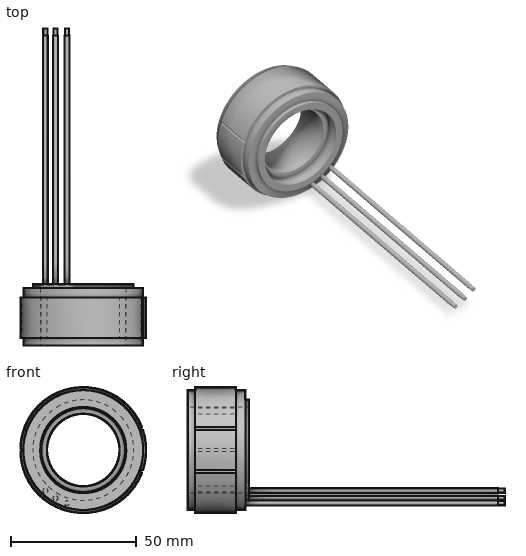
import cadquery as cq
import math

overall_length = 126.0

core_diameter = 50.0
core_radius = core_diameter / 2
core_front = 3.0
core_back = 19.2
winding_radius = 23.8
winding_back = 22.9
collar_radius = 20.0
collar_back = 24.5
stator_bore_radius = 17.0

groove_radius = 0.6
groove_angles = (180, 20, -20)

wire_radius = 1.0
tip_radius = 0.9
tip_length = 2.8
wire_circle_radius = 22.0
wire_angles = (227, 240, 253)

air_gap = 0.3
rotor_radius = stator_bore_radius - air_gap
rotor_bore_radius = 14.4
rotor_front = core_front
rotor_back = core_back


def cylinder(radius, start, end, center=(0, 0)):
    """Cylinder along +Y from start to end, centred at (x, z)."""
    x, z = center
    return cq.Workplane(cq.Solid.makeCylinder(radius, end - start, cq.Vector(x, start, z), cq.Vector(0, 1, 0)))


def polar_point(radius, angle):
    """The (x, z) point at an angle in degrees, measured from +X toward +Z."""
    turn = math.radians(angle)
    return radius * math.cos(turn), radius * math.sin(turn)


def make_wire(angle):
    """Insulated lead with its stripped end, starting on the back of the winding."""
    center = polar_point(wire_circle_radius, angle)
    insulation_end = overall_length - tip_length
    insulation = cylinder(wire_radius, winding_back, insulation_end, center)
    tip = cylinder(tip_radius, insulation_end, overall_length, center)
    return insulation.union(tip)


def make_stator():
    """Core, winding, rear collar and lead wires as one solid."""
    core = cylinder(core_radius, core_front, core_back)
    for angle in groove_angles:
        core = core.cut(cylinder(groove_radius, core_front, core_back, polar_point(core_radius, angle)))
    winding = cylinder(winding_radius, 0, winding_back)
    collar = cylinder(collar_radius, winding_back, collar_back)
    stator = core.union(winding).union(collar)
    stator = stator.cut(cylinder(stator_bore_radius, 0, collar_back))
    for angle in wire_angles:
        stator = stator.union(make_wire(angle))
    return stator


def make_rotor():
    """Plain ring in the stator bore, level with the core at both ends."""
    ring = cylinder(rotor_radius, rotor_front, rotor_back)
    return ring.cut(cylinder(rotor_bore_radius, rotor_front, rotor_back))


stator = make_stator()
rotor = make_rotor()
result = cq.Compound.makeCompound([stator.val(), rotor.val()])